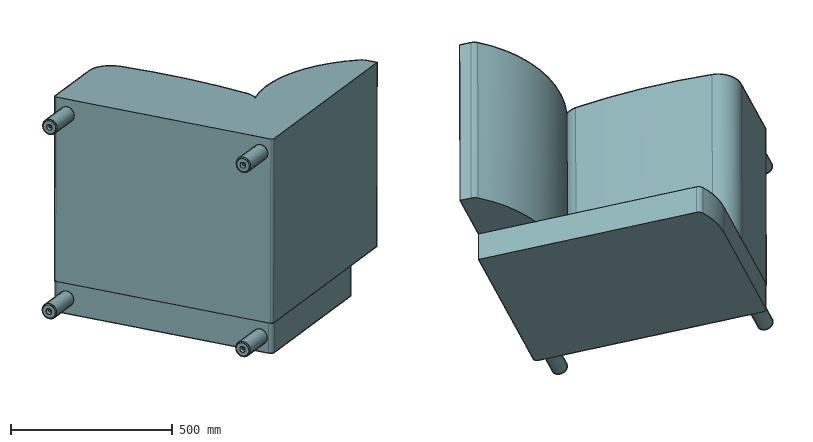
import cadquery as cq
import math

width = 762.0
arm_thickness = 101.0
seat_thickness = 617.0
total_thickness = arm_thickness + seat_thickness
tilt_angle = 0.15

back_height = 710.5
back_front_x = 544.5
back_front_y = 380.0
back_radius = 407.0
back_top_round = 33.0
seat_crown_x = 224.0
seat_crown_y = 322.0
seat_crown_radius = 1934.0
seat_nose_round = 76.0
seat_rear_x = 523.0
crease_y = 281.0
crease_roll_bulge = 2.5
seat_base_round = 7.5

arm_height = 534.5
arm_curve_start_y = 412.0
arm_curve_radius = 224.0
arm_top_round = 21.0
arm_base_round = 13.0

leg_diameter = 51.0
leg_length = 119.5
leg_chamfer = 3.0
leg_inset_x = 46.0
leg_spacing_x = 673.0
leg_inset_z = 51.0
countersink_diameter = 19.0
countersink_angle = 90.0
screw_hole_diameter = 8.0
screw_hole_depth = 17.0


def crown_y(x):
    """Height of the cushion's crowned top at a given X."""
    drop = seat_crown_radius - math.sqrt(seat_crown_radius**2 - (x - seat_crown_x) ** 2)
    return seat_crown_y - drop


def back_x(y):
    """X of the backrest curve at a given height."""
    return back_front_x + back_radius - math.sqrt(back_radius**2 - (y - back_front_y) ** 2)


def round_edge(block, x, y, radius):
    """Round the thickness-wise edge of a block that passes through the profile point (x, y)."""
    reach = 0.1
    around_edge = cq.selectors.BoxSelector(
        (x - reach, y - reach, -reach),
        (x + reach, y + reach, total_thickness + reach),
    )
    return block.edges("|Z").edges(around_edge).fillet(radius)


def make_seat():
    """Seat and backrest block, standing on the armrest block."""
    nose_y = crown_y(0)
    rear_y = crown_y(seat_rear_x)
    crease_x = back_x(crease_y)
    roll_middle = ((seat_rear_x + crease_x) / 2, (rear_y + crease_y) / 2 + crease_roll_bulge)
    back_top_x = back_x(back_height)

    seat = (
        cq.Workplane("XY", origin=(0, 0, arm_thickness))
        .lineTo(0, nose_y)
        .threePointArc((seat_crown_x, seat_crown_y), (seat_rear_x, rear_y))
        .threePointArc(roll_middle, (crease_x, crease_y))
        .threePointArc((back_front_x, back_front_y), (back_top_x, back_height))
        .lineTo(width, back_height)
        .lineTo(width, 0)
        .close()
        .extrude(seat_thickness)
    )
    seat = round_edge(seat, 0, nose_y, seat_nose_round)
    seat = round_edge(seat, back_top_x, back_height, back_top_round)
    for base_x in (0, width):
        seat = round_edge(seat, base_x, 0, seat_base_round)
    return seat


def arm_curve_x(y):
    """X of the armrest's curved front at a given height."""
    return arm_curve_radius - math.sqrt(arm_curve_radius**2 - (y - arm_curve_start_y) ** 2)


def make_arm():
    """Armrest block beneath the seat block."""
    arm_top_x = arm_curve_x(arm_height)
    arm_middle_y = (arm_curve_start_y + arm_height) / 2
    arm = (
        cq.Workplane("XY")
        .lineTo(0, arm_curve_start_y)
        .threePointArc((arm_curve_x(arm_middle_y), arm_middle_y), (arm_top_x, arm_height))
        .lineTo(width, arm_height)
        .lineTo(width, 0)
        .close()
        .extrude(arm_thickness)
    )
    arm = round_edge(arm, arm_top_x, arm_height, arm_top_round)
    for base_x in (0, width):
        arm = round_edge(arm, base_x, 0, arm_base_round)
    return arm


def make_leg(x, z):
    """Round leg hanging from the underside, with a countersunk screw hole in its foot."""
    return (
        cq.Workplane("XZ", origin=(x, 0, z))
        .circle(leg_diameter / 2)
        .extrude(leg_length)
        .faces("<Y")
        .chamfer(leg_chamfer)
        .faces("<Y")
        .workplane(centerOption="CenterOfBoundBox")
        .cskHole(screw_hole_diameter, countersink_diameter, countersink_angle, screw_hole_depth)
    )


def tilt(body):
    """Lean a body about the Y axis."""
    return body.rotate((0, 0, 0), (0, 1, 0), tilt_angle)


seat = tilt(make_seat())
arm = tilt(make_arm())
legs = [
    tilt(make_leg(x, z))
    for x in (leg_inset_x, leg_inset_x + leg_spacing_x)
    for z in (leg_inset_z, total_thickness - leg_inset_z)
]

result = cq.Compound.makeCompound([seat.val(), arm.val(), *[leg.val() for leg in legs]])